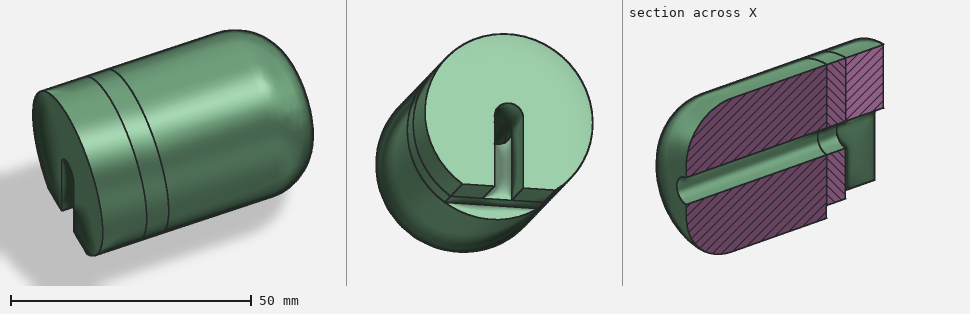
import cadquery as cq

outer_diameter = 36.0
total_length = 52.0
bore_diameter = 6.2
dome_radius = 12.0

end_cap_length = 10.0
spacer_length = 5.0
housing_length = total_length - end_cap_length - spacer_length

flat_distance = 15.0

end_cap_start = -total_length / 2
spacer_start = end_cap_start + end_cap_length
housing_start = spacer_start + spacer_length


def bored_cylinder(start, length):
    """Cylinder along Y with the central bore through it."""
    return (
        cq.Workplane("XZ", origin=(0, start, 0))
        .circle(outer_diameter / 2)
        .circle(bore_diameter / 2)
        .extrude(-length)
    )


def box_below(top, width, start, length):
    """Cutting box that reaches down from the height top past the outside."""
    height = outer_diameter
    box = cq.Workplane("XY").box(width, length, height, centered=(True, False, False))
    return box.translate((0, start, top - height))


def flatted_cylinder(start, length):
    """Bored cylinder with a flat along its underside."""
    flat_cutter = box_below(-flat_distance, outer_diameter, start, length)
    return bored_cylinder(start, length).cut(flat_cutter)


def make_end_cap():
    """Flatted cap with a slot from the bore down through the flat."""
    slot_cutter = box_below(0, bore_diameter, end_cap_start, end_cap_length)
    return flatted_cylinder(end_cap_start, end_cap_length).cut(slot_cutter)


def make_spacer():
    """Flatted disc between the end cap and the housing."""
    return flatted_cylinder(spacer_start, spacer_length)


def make_housing():
    """Long cylinder with a rounded far end."""
    outer_end_edge = cq.selectors.RadiusNthSelector(-1)
    cylinder = bored_cylinder(housing_start, housing_length)
    return cylinder.faces(">Y").edges(outer_end_edge).fillet(dome_radius)


end_cap = make_end_cap()
spacer = make_spacer()
housing = make_housing()

bodies = [end_cap, spacer, housing]
result = cq.Compound.makeCompound([body.solids().val() for body in bodies])